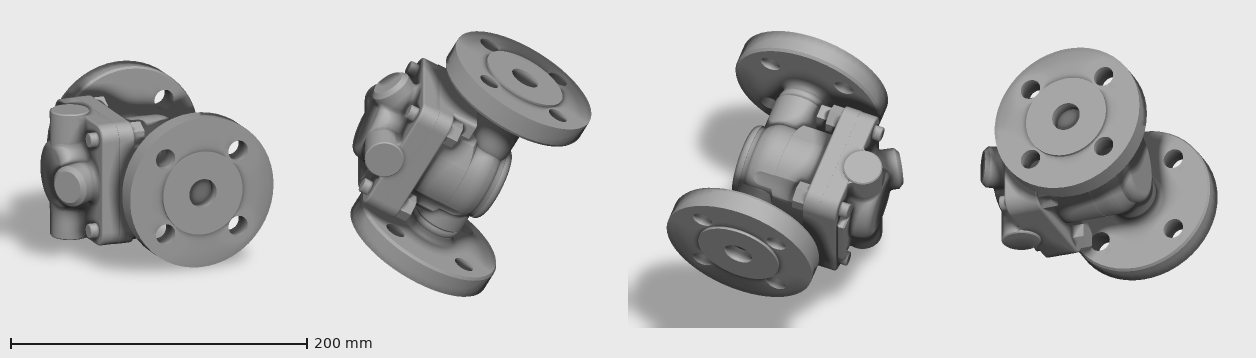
import cadquery as cq
import math

face_to_face = 150.0
flange_dia = 105.0
flange_thickness = 18.0
raised_face_dia = 58.0
raised_face_height = 2.0
flange_chamfer_length = 2.0
flange_chamfer_depth = 1.2
bolt_circle_dia = 75.0
flange_hole_dia = 14.0
flange_hole_count = 4
bore_dia = 20.0
bore_depth = 9.5

neck_dia = 32.0
neck_fillet = 4.0
neck_land = 1.4
weld_bead_dia = 34.4
weld_bead_drop = 0.5
pipe_dia = 36.0
pipe_half_length = 46.0
pipe_end_chamfer = 1.5

body_x = -5.8
core_radius = 32.0
taper_start_y = 0.7
groove_radius = 26.0
groove_front_y = 13.5
cap_radius = 26.7
cap_front_y = 16.5
cap_fillet = 5.0
drum_radius = 32.2
drum_back_y = -5.3
shoulder_radius = 29.8
shoulder_slope = 1.2
drum_left = -36.75
drum_right = 34.5
drum_left_bulge = (-34.5, 11.0)
drum_left_corner = (-28.1, 20.5)
drum_roof_left = (-17.0, 27.3)
drum_roof_right = (13.0, 29.5)
drum_right_corner = (28.3, 22.0)
drum_right_foot = 6.0
body_back_y = 22.1

cover_x = -3.0
cover_height = 85.0
cover_width = 85.0
plate_x = -2.8
plate_width = 85.4
plate_height = 85.2
plate_corner_radius = 10.5
plate_edge_fillet = 1.5
body_plate_y = -35.0
joint_y = -46.5
cover_face_y = -58.8

stud_pitch = 64.0
stud_dia = 10.0
stud_length = 6.0
stud_chamfer = 0.5
nut_sides = 6
nut_across_flats = 16.0
nut_height = 8.1
nut_clearance_radius = 12.6

side_rib_y = -17.5
side_rib_start_x = 28.6
side_rib_half_height = 28.0
side_rib_fillet = 2.5
rib_joint_fillet = 1.6

dome_base_radius = 27.5
dome_top_radius = 23.0
dome_end_y = -77.1
dome_rim_fillet = 5.6
cover_root_fillet = 3.0

barrel_dia = 26.6
barrel_y = -63.75
barrel_half_length = 44.2
barrel_end_chamfer = 0.8

plug_dia = 28.0
plug_chamfer = 3.0
plug_tilt = 30.0
plug_face_x = 26.7
overall_depth = 137.04
plug_lowest_y = flange_dia / 2 - overall_depth
plug_length = 30.0

pad_left_x = -42.8
pad_half_height = 20.8
pad_height = 5.4
pad_edge_chamfer = 1.2
pad_root_fillet = 1.0

pick_margin = 0.1

outer_x = face_to_face / 2
flange_back_x = outer_x - flange_thickness
plate_right_x = plate_x + plate_width / 2


def axial_cylinder(x, z, y_start, y_end, radius):
    """Cylinder parallel to Y between two Y positions."""
    return cq.Workplane("XZ", origin=(x, y_start, z)).circle(radius).extrude(y_start - y_end)


def stud_positions():
    """(X, Z) of the four cover studs."""
    half = stud_pitch / 2
    return [(cover_x + sx * half, sz * half) for sx in (-1, 1) for sz in (-1, 1)]


def pipe_end():
    """Flange, neck, weld bead and pipe half on the +X side, without holes."""
    neck_start_x = flange_back_x - neck_fillet
    bead_start_x = neck_start_x - neck_land
    bead_mid_x = (bead_start_x + pipe_half_length) / 2
    neck_r = neck_dia / 2
    bead_r = weld_bead_dia / 2
    pipe_r = pipe_dia / 2
    flange_r = flange_dia / 2
    profile = (
        cq.Workplane("XY")
        .moveTo(0, 0)
        .lineTo(0, pipe_r)
        .lineTo(pipe_half_length - pipe_end_chamfer, pipe_r)
        .lineTo(pipe_half_length, bead_r - weld_bead_drop)
        .threePointArc((bead_mid_x, bead_r), (bead_start_x, neck_r))
        .lineTo(neck_start_x, neck_r)
        .radiusArc((flange_back_x, neck_r + neck_fillet), -neck_fillet)
        .lineTo(flange_back_x, flange_r - flange_chamfer_depth)
        .lineTo(flange_back_x + flange_chamfer_length, flange_r)
        .lineTo(outer_x - raised_face_height, flange_r)
        .lineTo(outer_x - raised_face_height, raised_face_dia / 2)
        .lineTo(outer_x, raised_face_dia / 2)
        .lineTo(outer_x, 0)
        .close()
    )
    return profile.revolve(360, (0, 0, 0), (1, 0, 0))


def body_core():
    """Turned part of the body: cylinder, rounded taper, groove and rounded back cap."""
    profile = (
        cq.Workplane("XY", origin=(body_x, 0, 0))
        .moveTo(0, body_plate_y)
        .lineTo(core_radius, body_plate_y)
        .lineTo(core_radius, taper_start_y)
        .tangentArcPoint((groove_radius, groove_front_y), relative=False)
        .lineTo(groove_radius, cap_front_y)
        .lineTo(cap_radius, cap_front_y)
        .lineTo(cap_radius, body_back_y - cap_fillet)
        .radiusArc((cap_radius - cap_fillet, body_back_y), -cap_fillet)
        .lineTo(0, body_back_y)
        .close()
    )
    return profile.revolve(360, (0, 0, 0), (0, 1, 0))


def shoulder_cone():
    """Cone that trims the back edge of the drum to a sloping shoulder."""
    depth = drum_back_y - joint_y
    front_radius = shoulder_radius + depth * shoulder_slope
    cone = cq.Solid.makeCone(
        shoulder_radius, front_radius, depth, cq.Vector(body_x, drum_back_y, 0), cq.Vector(0, -1, 0)
    )
    return cq.Workplane(cone)


def body_drum():
    """Wider prism between the core and the body plate: round top, slanted right, bulging left."""
    upper = (
        cq.Workplane("XZ", origin=(body_x, drum_back_y, 0))
        .moveTo(drum_left, 0)
        .threePointArc(drum_left_bulge, drum_left_corner)
        .lineTo(*drum_roof_left)
        .threePointArc((0, drum_radius), drum_roof_right)
        .lineTo(*drum_right_corner)
        .lineTo(drum_right, drum_right_foot)
        .lineTo(drum_right, 0)
        .close()
        .extrude(drum_back_y - body_plate_y)
    )
    drum = upper.union(upper.mirror("XY"))
    return drum.intersect(shoulder_cone())


def rounded_plate(center_x, width, height, y_start, y_end, rounded_face):
    """Plate with rounded corners and one face with rounded edges."""
    plate = (
        cq.Workplane("XZ", origin=(center_x, y_start, 0))
        .rect(width, height)
        .extrude(y_start - y_end)
        .edges("|Y")
        .fillet(plate_corner_radius)
    )
    return plate.faces(rounded_face).edges().fillet(plate_edge_fillet)


def side_rib():
    """Block on the +X side of the drum, standing on the body plate below the pipe."""
    width = plate_right_x - side_rib_start_x
    rib = (
        cq.Workplane("XZ", origin=(side_rib_start_x + width / 2, side_rib_y, 0))
        .rect(width, 2 * side_rib_half_height)
        .extrude(side_rib_y - joint_y)
    )
    return rib.edges("|Y and >X").fillet(side_rib_fillet)


def main_body():
    """Body drum with its pipe ends, nut clearances, plate and side rib."""
    body = body_core().union(body_drum())
    left_studs = [(x, z) for x, z in stud_positions() if x < body_x]
    for x, z in left_studs:
        body = body.cut(axial_cylinder(x, z, body_plate_y, body_back_y, nut_clearance_radius))
    body = body.union(pipe_end()).union(pipe_end().mirror("YZ"))
    body = body.union(side_rib())
    rib_joint = cq.selectors.BoxSelector(
        (plate_right_x - pick_margin, -pipe_dia / 2, -pick_margin),
        (plate_right_x + pick_margin, side_rib_y, pick_margin),
    )
    body = body.edges(rib_joint).fillet(rib_joint_fillet)
    return body.union(rounded_plate(plate_x, plate_width, plate_height, body_plate_y, joint_y, ">Y"))


def cover_dome():
    """Tapered round dome with a rounded rim."""
    return (
        cq.Workplane("XY", origin=(body_x, 0, 0))
        .moveTo(0, joint_y)
        .lineTo(dome_base_radius, joint_y)
        .lineTo(dome_base_radius, cover_face_y)
        .lineTo(dome_top_radius, dome_end_y)
        .lineTo(0, dome_end_y)
        .close()
        .revolve(360, (0, 0, 0), (0, 1, 0))
        .faces("<Y")
        .edges()
        .fillet(dome_rim_fillet)
    )


def cover_barrel(half_length):
    """Cylinder parallel to Z across the dome."""
    return (
        cq.Workplane("XY", origin=(body_x, barrel_y, -half_length))
        .circle(barrel_dia / 2)
        .extrude(2 * half_length)
    )


def cover_plug():
    """Tilted cylinder with a chamfered end, cut off at the joint plane."""
    tilt = math.radians(plug_tilt)
    axis = cq.Vector(math.sin(tilt), -math.cos(tilt), 0)
    radius = plug_dia / 2
    face_y = plug_lowest_y + (radius - plug_chamfer) * math.sin(tilt)
    root = cq.Vector(plug_face_x, face_y, 0) - axis * plug_length
    plug = cq.Workplane(cq.Plane(root, normal=axis)).circle(radius).extrude(plug_length)
    plug = plug.faces(cq.DirectionMinMaxSelector(axis)).edges().chamfer(plug_chamfer)
    beyond_joint = cq.Workplane("XZ", origin=(0, joint_y, 0)).rect(2 * plate_width, plate_width)
    return plug.intersect(beyond_joint.extrude(plate_width))


def blended_cover():
    """Dome, plug and overlong barrel blended into an oversize plate."""
    oversize = 2 * cover_height
    plate = cq.Workplane("XZ", origin=(cover_x, joint_y, 0)).rect(oversize, oversize)
    shape = plate.extrude(joint_y - cover_face_y)
    shape = shape.union(cover_dome()).union(cover_plug()).union(cover_barrel(oversize / 2))
    inside = cover_height - plate_corner_radius
    face_line = cq.selectors.BoxSelector(
        (-inside, cover_face_y - pick_margin, -inside), (inside, cover_face_y + pick_margin, inside)
    )
    meeting_curves = shape.edges("%BSPLINE or %ELLIPSE").filter(
        lambda edge: edge.Center().y < cover_face_y
    )
    return meeting_curves.add(shape.edges(face_line)).fillet(cover_root_fillet)


def cover():
    """Cover plate with dome, cross barrel, plug and label pad."""
    plate = rounded_plate(cover_x, cover_width, cover_height, joint_y, cover_face_y, "<Y")
    space_beyond = cq.Workplane("XZ", origin=(cover_x, cover_face_y, 0))
    space_beyond = space_beyond.rect(cover_width, cover_height).extrude(cover_width)
    shape = blended_cover().intersect(plate.union(space_beyond))
    full_barrel = cover_barrel(barrel_half_length)
    full_barrel = full_barrel.faces("<Z or >Z").edges().chamfer(barrel_end_chamfer)
    shape = shape.union(full_barrel).union(label_pad())
    pad_face_y = cover_face_y - pad_height
    pad_root = cq.selectors.BoxSelector(
        (pad_left_x, pad_face_y - pick_margin, -pick_margin),
        (body_x, pad_face_y + pick_margin, pick_margin),
    )
    return shape.edges(pad_root).fillet(pad_root_fillet)


def label_pad():
    """Rectangular pad on the -X side of the cover face, running into the dome."""
    pad = (
        cq.Workplane("XZ", origin=(0, cover_face_y, 0))
        .center((pad_left_x + body_x) / 2, 0)
        .rect(body_x - pad_left_x, 2 * pad_half_height)
        .extrude(pad_height)
    )
    return pad.edges("<Y or (<X and |Z)").edges("not >X").chamfer(pad_edge_chamfer)


def stud(x, z):
    """Stud tip standing out of the cover and the hexagon nut on the body plate."""
    tip = axial_cylinder(x, z, joint_y, cover_face_y - stud_length, stud_dia / 2)
    tip = tip.faces("<Y").edges().chamfer(stud_chamfer)
    corner_dia = nut_across_flats / math.cos(math.pi / nut_sides)
    nut = (
        cq.Workplane("XZ", origin=(x, joint_y, z))
        .transformed(rotate=(0, 0, 90))
        .polygon(nut_sides, corner_dia)
        .extrude(joint_y - body_plate_y - nut_height)
    )
    return tip.union(nut)


def port_cuts():
    """Bore and bolt holes of both flanges."""
    first_angle = 180 / flange_hole_count
    end = cq.Workplane("YZ", origin=(flange_back_x, 0, 0))
    holes = (
        end.polarArray(bolt_circle_dia / 2, first_angle, 360, flange_hole_count)
        .circle(flange_hole_dia / 2)
        .extrude(outer_x - flange_back_x)
    )
    bore = cq.Workplane("YZ", origin=(outer_x - bore_depth, 0, 0))
    cuts = holes.union(bore.circle(bore_dia / 2).extrude(bore_depth))
    return cuts.union(cuts.mirror("YZ"))


result = main_body().union(cover())
for stud_x, stud_z in stud_positions():
    result = result.union(stud(stud_x, stud_z))
result = result.cut(port_cuts())